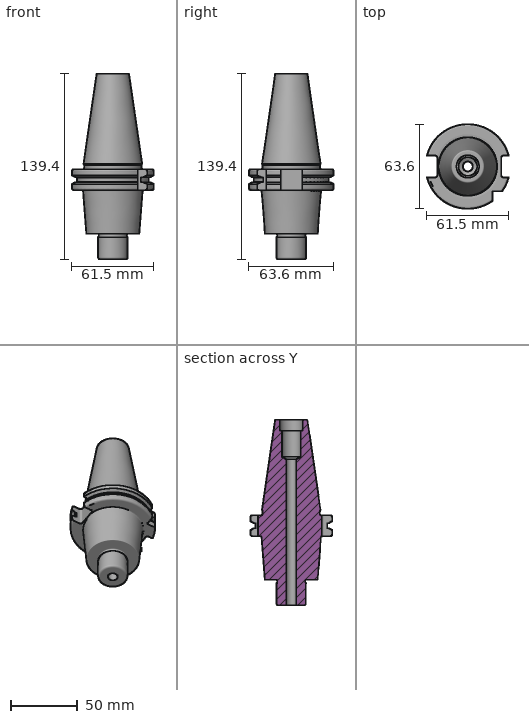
import cadquery as cq
import math

total_height = 139.4
flange_top = 67.7
flange_thickness = 15.9
flange_bottom = flange_top - flange_thickness
body_bottom = 19.2
stub_shoulder = 16.6

taper_ratio = 7 / 24
taper_end = flange_top + 4.2
taper_large_radius = 22.0
taper_small_radius = taper_large_radius - (total_height - taper_end) * taper_ratio / 2
taper_edge_fillet = 1.1
neck_radius = 21.6
neck_top = flange_top + 2.9

undercut_depth = 0.3
undercut_fillet = 1.1
undercut_outer_radius = 24.1

flange_radius = 31.8
flange_edge_fillet = 1.7
groove_floor_radius = 28.2
groove_floor_width = 3.6
groove_mouth_width = 6.5
groove_flank_angle = 30.0
groove_floor_fillet = 0.4

body_top_radius = 22.5
body_bottom_radius = 20.0
body_root_fillet = 0.8
body_edge_fillet = 0.4

stub_radius = 11.2
stub_edge_fillet = 1.7
relief_radius = 10.6
relief_slope_angle = 30.0
relief_blend = 0.8
relief_root_fillet = 0.5

bore_radius = 8.5
bore_mouth_fillet = 1.0
bore_depth = 8.4
bore_floor_fillet = 0.4
core_radius = 7.0
core_depth = 27.9
through_radius = 3.6
drill_half_angle = 60.0

slot_width = 16.2
slot_floor_left = 22.9
slot_floor_right = 25.1
slot_corner_fillet = 1.7
notch_offset = 18.7


def tan_deg(angle):
    return math.tan(math.radians(angle))


def revolve_profile(corners):
    """Revolve a closed outline about Z.

    Each corner is (radius, height) or (radius, height, rounding radius).
    """
    outline = None
    for index, corner in enumerate(corners):
        point = cq.Vector(*corner[:2])
        stops = [point]
        if len(corner) == 3:
            rounding = corner[2]
            to_previous = (cq.Vector(*corners[index - 1][:2]) - point).normalized()
            to_next = (cq.Vector(*corners[index + 1][:2]) - point).normalized()
            half_angle = to_previous.getAngle(to_next) / 2
            bisector = (to_previous + to_next).normalized()
            tangent_length = rounding / math.tan(half_angle)
            arc_distance = rounding / math.sin(half_angle) - rounding
            stops = [
                point + to_previous * tangent_length,
                point + bisector * arc_distance,
                point + to_next * tangent_length,
            ]
        start = stops[0].toTuple()[:2]
        outline = outline.lineTo(*start) if outline else cq.Workplane("XZ").moveTo(*start)
        if len(stops) == 3:
            outline = outline.threePointArc(stops[1].toTuple()[:2], stops[2].toTuple()[:2])
    return outline.close().revolve(360, (0, 0, 0), (0, 1, 0))


def outer_corners():
    """Outside from bottom to top: stub, tapered body, grooved flange, neck and steep taper."""
    groove_middle = flange_top - flange_thickness / 2
    flank_depth = (groove_mouth_width - groove_floor_width) / 2 / tan_deg(groove_flank_angle)
    groove_wall_radius = flange_radius - flank_depth
    lower_mouth = groove_middle - groove_mouth_width / 2
    lower_wall = groove_middle - groove_floor_width / 2
    upper_wall = groove_middle + groove_floor_width / 2
    upper_mouth = groove_middle + groove_mouth_width / 2
    relief_slope_top = stub_shoulder + (stub_radius - relief_radius) / tan_deg(relief_slope_angle)

    return [
        (stub_radius, 0, stub_edge_fillet),
        (stub_radius, stub_shoulder),
        (relief_radius, relief_slope_top, relief_blend),
        (relief_radius, body_bottom, relief_root_fillet),
        (body_bottom_radius, body_bottom, body_edge_fillet),
        (body_top_radius, flange_bottom, body_root_fillet),
        (flange_radius, flange_bottom, flange_edge_fillet),
        (flange_radius, lower_mouth),
        (groove_wall_radius, lower_wall),
        (groove_floor_radius, lower_wall, groove_floor_fillet),
        (groove_floor_radius, upper_wall, groove_floor_fillet),
        (groove_wall_radius, upper_wall),
        (flange_radius, upper_mouth),
        (flange_radius, flange_top, flange_edge_fillet),
        (undercut_outer_radius, flange_top),
        (neck_radius, flange_top - undercut_depth, undercut_fillet),
        (neck_radius, neck_top),
        (taper_large_radius, taper_end),
        (taper_small_radius, total_height, taper_edge_fillet),
    ]


def bore_corners():
    """Inside from top to bottom: counterbore, core hole with a drill-tip floor, through hole."""
    core_bottom = total_height - core_depth
    tip_bottom = core_bottom - (core_radius - through_radius) / tan_deg(drill_half_angle)
    bore_floor = total_height - bore_depth

    return [
        (bore_radius, total_height, bore_mouth_fillet),
        (bore_radius, bore_floor, bore_floor_fillet),
        (core_radius, bore_floor),
        (core_radius, core_bottom),
        (through_radius, tip_bottom),
        (through_radius, 0),
    ]


def make_slot(side, floor_distance):
    """Drive slot running out of the flange toward -X (side -1) or +X (side 1)."""
    slot_height = flange_thickness + body_root_fillet
    slot = cq.Workplane("XY").box(flange_radius, slot_width, slot_height, centered=(False, True, False))
    slot = slot.edges("|Z and <X").fillet(slot_corner_fillet)
    if side < 0:
        slot = slot.rotate((0, 0, 0), (0, 0, 1), 180)
    return slot.translate((side * floor_distance, 0, flange_top - slot_height))


def make_notch():
    """Square orientation notch in the +X, -Y quadrant of the flange."""
    notch = cq.Workplane("XY").box(flange_radius, flange_radius, flange_thickness, centered=False)
    return notch.translate((notch_offset, -notch_offset - flange_radius, flange_bottom))


result = (
    revolve_profile(outer_corners() + bore_corners())
    .cut(make_slot(-1, slot_floor_left))
    .cut(make_slot(1, slot_floor_right))
    .cut(make_notch())
)